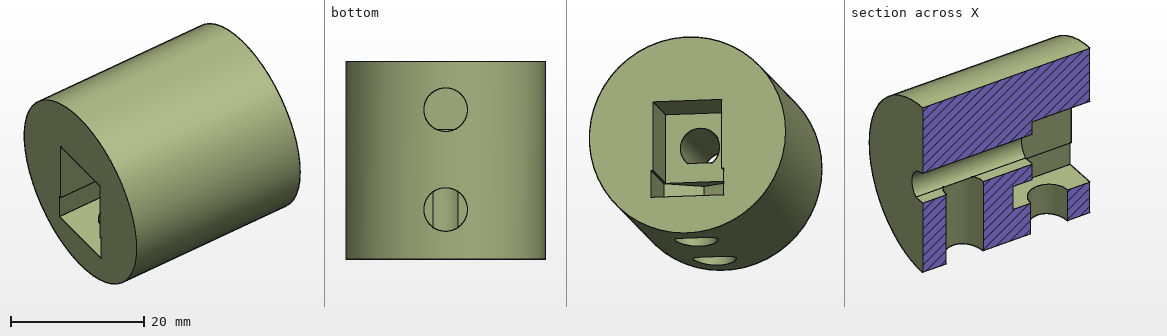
import cadquery as cq
import math

body_diameter = 30.0
body_length = 29.75
front_y = -body_length / 2

socket_side = 10.5
socket_depth = 10.25
socket_floor_z = -socket_side / 2

bore_diameter = 6.0
bore_flat_z = -2.35

screw_diameter = 6.55
screw_spacing = 15.0
front_screw_setback = 7.25
front_screw_y = front_y + front_screw_setback
rear_screw_y = front_screw_y + screw_spacing

nut_width = 11.1
nut_slot_floor_z = -9.35
nut_corner_radius = nut_width / math.sqrt(3)


def box_between(width, y_range, z_range):
    """Box centred on X, spanning the given Y and Z ranges."""
    y_start, y_end = y_range
    z_start, z_end = z_range
    return cq.Workplane("XY").box(
        width, y_end - y_start, z_end - z_start, centered=(True, False, False)
    ).translate((0, y_start, z_start))


def cylinder_along_y(diameter):
    """Cylinder on the Y axis, as long as the body."""
    return cq.Workplane("XZ").circle(diameter / 2).extrude(body_length / 2, both=True)


def screw_hole(y, top_z):
    """Vertical hole from top_z down and out through the underside."""
    depth = top_z + body_diameter / 2
    return cq.Workplane("XY", origin=(0, y, top_z)).circle(screw_diameter / 2).extrude(-depth)


def d_bore():
    """Round bore with a flat along its lower side."""
    above_flat = box_between(
        bore_diameter, (front_y, -front_y), (bore_flat_z, bore_diameter / 2)
    )
    return cylinder_along_y(bore_diameter).intersect(above_flat)


def nut_slot():
    """Slot open at the front, ending in two hexagon faces past the front screw hole."""
    half_width = nut_width / 2
    corner_y = front_screw_y + nut_corner_radius / 2
    point_y = front_screw_y + nut_corner_radius
    outline = [
        (-half_width, front_y),
        (half_width, front_y),
        (half_width, corner_y),
        (0, point_y),
        (-half_width, corner_y),
    ]
    height = socket_floor_z - nut_slot_floor_z
    return (
        cq.Workplane("XY", origin=(0, 0, nut_slot_floor_z)).polyline(outline).close().extrude(height)
    )


socket = box_between(
    socket_side, (front_y, front_y + socket_depth), (socket_floor_z, socket_side / 2)
)

result = (
    cylinder_along_y(body_diameter)
    .cut(socket)
    .cut(d_bore())
    .cut(nut_slot())
    .cut(screw_hole(front_screw_y, nut_slot_floor_z))
    .cut(screw_hole(rear_screw_y, bore_flat_z))
)